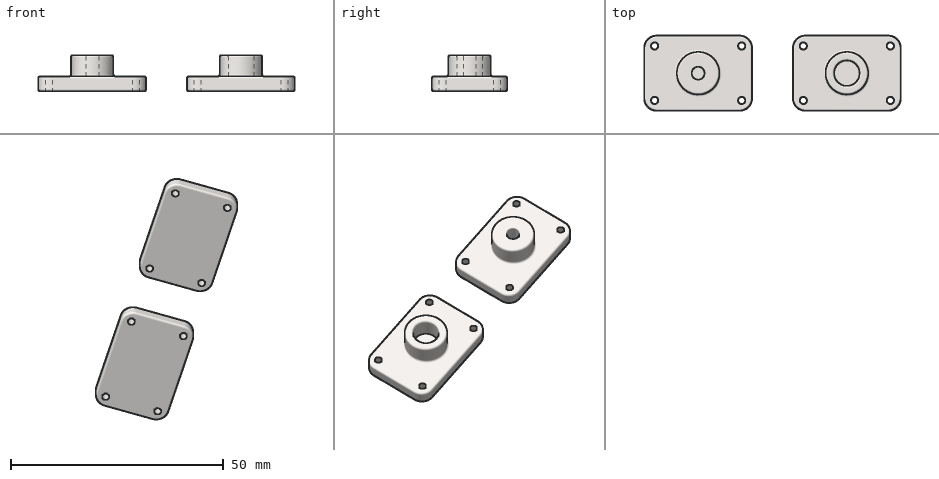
import cadquery as cq

PAIR_LENGTH = 60.4

PLATE_LENGTH = 25.4
PLATE_WIDTH = 17.75
PLATE_THICKNESS = 3.5
CORNER_RADIUS = 3.0

TOTAL_HEIGHT = 8.5
BOSS_DIAMETER = 10.0
BOSS_HEIGHT = TOTAL_HEIGHT - PLATE_THICKNESS

SCREW_HOLE_DIAMETER = 1.65
SCREW_HOLE_INSET = 2.5

NARROW_BORE_DIAMETER = 3.0
WIDE_BORE_DIAMETER = 6.0
BORE_DEPTH = BOSS_HEIGHT

EDGE_RADIUS = 0.5
NARROW_RIM_RADIUS = EDGE_RADIUS / 2
WIDE_RIM_RADIUS = EDGE_RADIUS

PITCH = PAIR_LENGTH - PLATE_LENGTH


def make_plate():
    """Rounded rectangular plate standing on Z = 0, with top and bottom edges rounded."""
    plate = cq.Workplane("XY").box(PLATE_LENGTH, PLATE_WIDTH, PLATE_THICKNESS, centered=(True, True, False))
    plate = plate.edges("|Z").fillet(CORNER_RADIUS)
    return plate.faces("<Z or >Z").edges().fillet(EDGE_RADIUS)


def add_boss(plate):
    """Join the boss to the plate, with a fillet at its foot and a rounded top edge."""
    body = plate.faces(">Z").workplane().circle(BOSS_DIAMETER / 2).extrude(BOSS_HEIGHT)
    body = body.faces(">Z").edges().fillet(EDGE_RADIUS)
    foot_circle_center = (0, 0, PLATE_THICKNESS)
    return body.edges(cq.NearestToPointSelector(foot_circle_center)).fillet(EDGE_RADIUS)


def cut_screw_holes(body):
    """Drill the four through holes near the plate corners."""
    spacing_x = PLATE_LENGTH - 2 * SCREW_HOLE_INSET
    spacing_y = PLATE_WIDTH - 2 * SCREW_HOLE_INSET
    holes = (
        cq.Workplane("XY")
        .rect(spacing_x, spacing_y, forConstruction=True)
        .vertices()
        .circle(SCREW_HOLE_DIAMETER / 2)
        .extrude(PLATE_THICKNESS)
    )
    return body.cut(holes)


def cut_bore(body, diameter, rim_radius):
    """Sink a flat-bottomed bore into the boss and round its rim."""
    body = body.faces(">Z").workplane().hole(diameter, BORE_DEPTH)
    return body.faces(">Z").edges(cq.selectors.RadiusNthSelector(0)).fillet(rim_radius)


def make_bossed_plate(bore_diameter, rim_radius, center_x):
    """One complete body, centred on center_x."""
    body = add_boss(make_plate())
    body = cut_screw_holes(body)
    body = cut_bore(body, bore_diameter, rim_radius)
    return body.translate((center_x, 0, 0))


narrow_bore_plate = make_bossed_plate(NARROW_BORE_DIAMETER, NARROW_RIM_RADIUS, -PITCH / 2)
wide_bore_plate = make_bossed_plate(WIDE_BORE_DIAMETER, WIDE_RIM_RADIUS, PITCH / 2)

result = cq.Compound.makeCompound([narrow_bore_plate.val(), wide_bore_plate.val()])